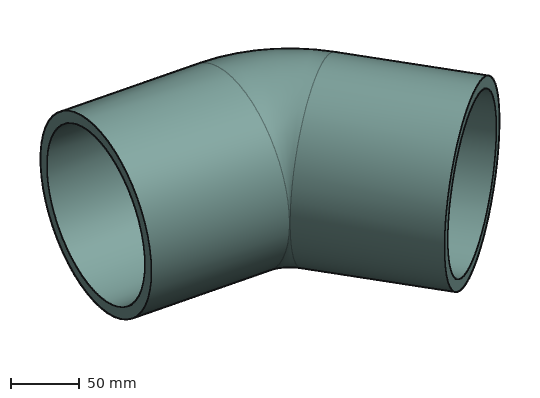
import cadquery as cq
import math

outer_diameter = 160.0
inner_diameter = 141.0
bend_radius = 80.7
bend_angle = 45
overall_length = 312.5

bend_sine = math.sin(math.radians(bend_angle))
bend_cosine = math.cos(math.radians(bend_angle))
leg_length = (overall_length - (bend_radius + outer_diameter / 2) * bend_sine) / (1 + bend_cosine)


def section(diameter):
    """Circular section at the start of the bend, facing -Y."""
    return cq.Workplane("XZ").circle(diameter / 2)


def elbow(diameter):
    """Solid round bar: straight leg along Y, bend toward +X, second straight leg."""
    first_leg = section(diameter).extrude(leg_length)
    bend = section(diameter).revolve(bend_angle, (bend_radius, 3, 0), (bend_radius, 0, 0))
    second_leg = section(diameter).extrude(-leg_length).rotate(
        (bend_radius, 0, 0), (bend_radius, 0, 1), -bend_angle
    )
    return first_leg.union(bend).union(second_leg)


result = elbow(outer_diameter).cut(elbow(inner_diameter))